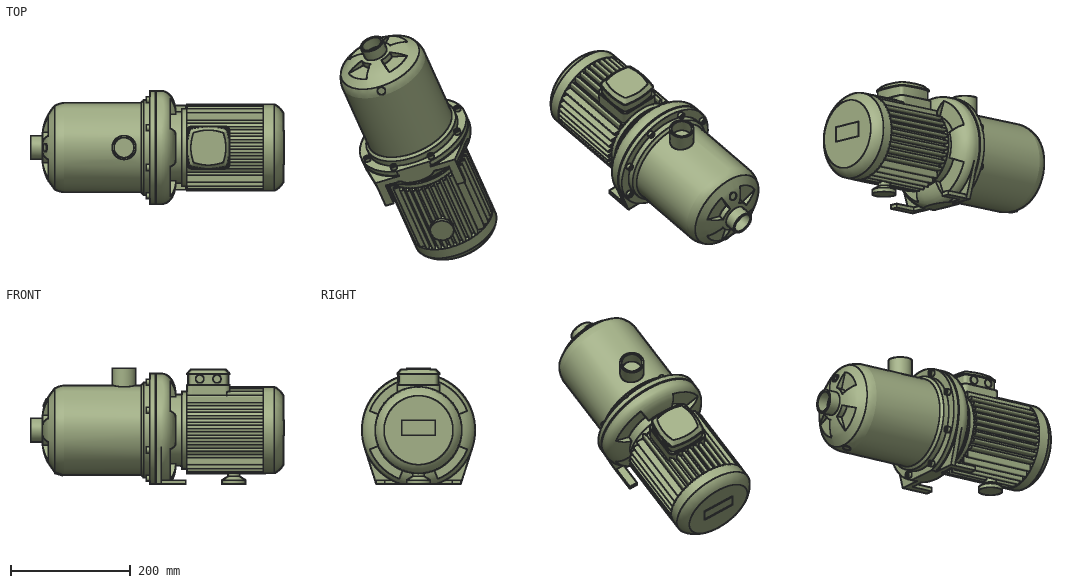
import cadquery as cq
import math


PIPE_RADIUS = 20.0
BORE_RADIUS = 16.75
OUTLET_X = 156.0
OUTLET_TOP = 104.0
OUTLET_BORE_DEPTH = 22.0

DOME_X = 19.0
DOME_HUB_RADIUS = 27.0
DOME_POCKET_RADIUS = 56.0
DOME_EDGE_X = 40.0
DOME_EDGE_RADIUS = 70.0
CASING_X = 55.5
CASING_RADIUS = 75.0
CASING_END_X = 184.5
COLLAR_X = 189.0
COLLAR_RADIUS = 79.92
DOME_POCKET_FLOOR_X = 29.5
POCKET_ANGLE = 47.0
POCKET_COUNT = 4

PLUG_RADIUS = 6.8
PLUG_HEIGHT = 1.5
VENT_PLUG_X = 25.0
VENT_PLUG_Z = 46.0
VENT_PLUG_TILT = 24.0
DRAIN_PLUG_X = 47.0
DRAIN_PLUG_Z = -72.5
DRAIN_PLUG_TILT = -74.0

FLANGE_X = 199.3
FLANGE_RADIUS = 95.0
SEAM_X = 208.0
SEAM_WIDTH = 1.5
SEAM_DEPTH = 0.5
BELL_X = 218.5
BELL_END_X = 242.5
BELL_POCKET_FLOOR_X = 233.0
HUB_RADIUS = 60.0

BASE_Z = -90.5
BRACKET_X = SEAM_X + SEAM_WIDTH
BRACKET_HALF_WIDTH = 71.0
FOOT_THICKNESS = 6.8
FOOT_END_X = 259.5
FOOT_SLOT_X = 220.5
FOOT_SLOT_HALF_WIDTH = 56.5

MOTOR_RING_X = 252.5
MOTOR_RING_RADIUS = 65.1
FINS_X = 261.0
FINS_END_X = 389.0
MOTOR_RADIUS = 72.5
CORE_RADIUS = 62.8
FIN_THICKNESS = 5.0
FIN_PITCH = 10.85
FINS_PER_SIDE = 9
CAP_SHOULDER_X = 407.5
CAP_END_X = 422.7
CAP_END_RADIUS = 57.5
END_PLATE_X = 424.0
END_PLATE_WIDTH = 56.0
END_PLATE_HEIGHT = 25.0
END_PLATE_Z = 4.0

BOX_SIZE = 71.5
BOX_CENTRE_X = FINS_X + BOX_SIZE / 2
BOX_CORNER_RADIUS = 9.0
BOX_FLOOR_Z = CORE_RADIUS / 2
BOX_BASE_TOP = 76.5
BOX_EDGE_CHAMFER = 1.0
LID_CORNER_RADIUS = 6.5
LID_WALL_SIZE = 63.0
LID_WALL_BOW = 2.5
LID_RIM_SIZE = 65.7
LID_RIM_BOW = 3.0
LID_RIM_Z = 93.3
LID_RIM_THICKNESS = 1.3
LID_TOP = 101.8
LID_TOP_SIZE = 51.7
LID_TOP_BOW = 3.5
LID_TOP_CORNER_RADIUS = 4.2
GLAND_RADIUS = 6.8
GLAND_SPACING = 29.0
GLAND_Z = 85.5
GLAND_REACH = 34.5

SUPPORT_X = 339.5
SUPPORT_NECK_RADIUS = 9.95
SUPPORT_RADIUS = 20.0
SUPPORT_PAD_HEIGHT = 6.8
SUPPORT_CONE_HEIGHT = 6.5

BOLT_COUNT = 8
BOLT_CIRCLE_RADIUS = 87.0
BOLT_RADIUS = 5.0
BOLT_HEAD_X = 193.0
SOCKET_DIAMETER = 5.5
SOCKET_DEPTH = 3.5


def disc(x_start, x_end, radius):
    """A cylinder on the pump axis."""
    return cq.Workplane("YZ", origin=(x_start, 0, 0)).circle(radius).extrude(x_end - x_start)


def sector_pockets(x_start, x_end, inner_radius, outer_radius):
    """Four pie-shaped cutters centred on the diagonals, leaving four radial arms between them."""
    pockets = disc(x_start, x_end, outer_radius)
    pockets = pockets.cut(disc(x_start, x_end, inner_radius))
    half_angle = math.radians(POCKET_ANGLE / 2)
    reach = 2 * outer_radius
    wedge = (
        cq.Workplane("YZ", origin=(x_start, 0, 0))
        .polyline([
            (0, 0),
            (reach * math.cos(half_angle), -reach * math.sin(half_angle)),
            (reach * math.cos(half_angle), reach * math.sin(half_angle)),
        ])
        .close()
        .extrude(x_end - x_start)
    )
    wedges = cq.Workplane("YZ")
    for index in range(POCKET_COUNT):
        angle = 360.0 / POCKET_COUNT * (index + 0.5)
        wedges = wedges.add(wedge.rotate((0, 0, 0), (1, 0, 0), angle))
    return pockets.intersect(wedges.combine())


def screw_plug(x, z, tilt):
    """A short round plug whose axis lies in the XZ plane, tilted up from the -X direction."""
    direction = cq.Vector(-math.cos(math.radians(tilt)), 0, math.sin(math.radians(tilt)))
    buried = 4.2
    start = cq.Vector(x, 0, z) - direction * buried
    return cq.Workplane(
        cq.Solid.makeCylinder(PLUG_RADIUS, buried + PLUG_HEIGHT, start, direction)
    )


def make_casing():
    """Domed casing with its collar, dome pockets and two plugs."""
    casing = (
        cq.Workplane("XY")
        .moveTo(DOME_X, 0)
        .lineTo(DOME_X, PIPE_RADIUS)
        .threePointArc((DOME_POCKET_FLOOR_X, DOME_POCKET_RADIUS), (DOME_EDGE_X, DOME_EDGE_RADIUS))
        .threePointArc((47.5, 73.5), (CASING_X, CASING_RADIUS))
        .lineTo(CASING_END_X, CASING_RADIUS)
        .lineTo(COLLAR_X, COLLAR_RADIUS)
        .lineTo(FLANGE_X, COLLAR_RADIUS)
        .lineTo(FLANGE_X, 0)
        .close()
        .revolve(360, (0, 0, 0), (1, 0, 0))
    )
    casing = casing.cut(
        sector_pockets(DOME_X, DOME_POCKET_FLOOR_X, DOME_HUB_RADIUS, CASING_RADIUS)
    )
    casing = casing.union(screw_plug(VENT_PLUG_X, VENT_PLUG_Z, VENT_PLUG_TILT))
    return casing.union(screw_plug(DRAIN_PLUG_X, DRAIN_PLUG_Z, DRAIN_PLUG_TILT))


def add_pipes(body):
    """Inlet pipe on the axis and outlet pipe on top, each with a blind bore."""
    inlet = disc(0, DOME_X, PIPE_RADIUS).cut(disc(0, DOME_X, BORE_RADIUS))
    outlet = (
        cq.Workplane("XY", origin=(OUTLET_X, 0, 0))
        .circle(PIPE_RADIUS)
        .extrude(OUTLET_TOP)
        .faces(">Z")
        .workplane()
        .circle(BORE_RADIUS)
        .cutBlind(-OUTLET_BORE_DEPTH)
    )
    return body.union(inlet).union(outlet)


def make_flange():
    """Flange with a shallow seam, and the rounded bell that closes onto the hub."""
    flange = (
        cq.Workplane("XY")
        .moveTo(FLANGE_X, 0)
        .lineTo(FLANGE_X, FLANGE_RADIUS)
        .lineTo(BELL_X, FLANGE_RADIUS)
        .ellipseArc(BELL_END_X - BELL_X, FLANGE_RADIUS - HUB_RADIUS, 0, 90, sense=-1)
        .lineTo(BELL_END_X, 0)
        .close()
        .revolve(360, (0, 0, 0), (1, 0, 0))
    )
    seam = disc(SEAM_X, BRACKET_X, FLANGE_RADIUS)
    seam = seam.cut(disc(SEAM_X, BRACKET_X, FLANGE_RADIUS - SEAM_DEPTH))
    pockets = sector_pockets(BELL_POCKET_FLOOR_X, BELL_END_X, HUB_RADIUS, FLANGE_RADIUS)
    flat_bottom = cq.Workplane("XY", origin=(BELL_X, 0, BASE_Z)).rect(254.5, 254.5).extrude(254.5)
    return flange.cut(seam).cut(pockets).intersect(flat_bottom)


def make_bracket():
    """Upright plate whose sides run tangent to the flange, bent into a slotted foot."""
    corner_distance = math.hypot(BRACKET_HALF_WIDTH, BASE_Z)
    corner_angle = math.atan2(BASE_Z, BRACKET_HALF_WIDTH)
    tangent_angle = corner_angle + math.acos(FLANGE_RADIUS / corner_distance)
    tangent_y = FLANGE_RADIUS * math.cos(tangent_angle)
    tangent_z = FLANGE_RADIUS * math.sin(tangent_angle)
    plate = (
        cq.Workplane("YZ", origin=(BRACKET_X, 0, 0))
        .polyline([
            (-tangent_y, tangent_z),
            (-BRACKET_HALF_WIDTH, BASE_Z),
            (BRACKET_HALF_WIDTH, BASE_Z),
            (tangent_y, tangent_z),
        ])
        .close()
        .extrude(BELL_X - BRACKET_X)
    )
    foot = cq.Workplane("XY").box(
        FOOT_END_X - BRACKET_X, 2 * BRACKET_HALF_WIDTH, FOOT_THICKNESS, centered=(False, True, False)
    ).translate((BRACKET_X, 0, BASE_Z))
    slot = cq.Workplane("XY").box(
        FOOT_END_X - FOOT_SLOT_X, 2 * FOOT_SLOT_HALF_WIDTH, FOOT_THICKNESS, centered=(False, True, False)
    ).translate((FOOT_SLOT_X, 0, BASE_Z))
    return plate.union(foot.cut(slot))


def make_fin(offset):
    """One lengthwise fin pointing up at the given Y, its rounded tip on the motor's outer circle."""
    half = FIN_THICKNESS / 2
    tip = math.sqrt(MOTOR_RADIUS**2 - offset**2)
    return (
        cq.Workplane("YZ", origin=(FINS_X, 0, 0))
        .moveTo(offset - half, 0)
        .lineTo(offset - half, tip - half)
        .threePointArc((offset, tip), (offset + half, tip - half))
        .lineTo(offset + half, 0)
        .close()
        .extrude(FINS_END_X - FINS_X)
    )


def make_motor():
    """Stepped hub, finned barrel, tapered end cap and end plate."""
    motor = disc(BELL_X, MOTOR_RING_X, HUB_RADIUS)
    motor = motor.union(disc(MOTOR_RING_X, FINS_X, MOTOR_RING_RADIUS))
    fins = cq.Workplane("XY")
    for side in range(4):
        for index in range(FINS_PER_SIDE):
            fin = make_fin((index - (FINS_PER_SIDE - 1) / 2) * FIN_PITCH)
            fins = fins.union(fin.rotate((0, 0, 0), (1, 0, 0), 90 * side))
    box_seat = cq.Workplane("XY").box(
        BOX_CENTRE_X - FINS_X, BOX_SIZE, MOTOR_RADIUS, centered=(False, True, False)
    ).translate((FINS_X, 0, 0))
    motor = motor.union(fins.cut(box_seat))
    motor = motor.union(disc(FINS_X, FINS_END_X, CORE_RADIUS))
    cap = (
        cq.Workplane("XY")
        .moveTo(FINS_END_X, 0)
        .lineTo(FINS_END_X, MOTOR_RADIUS)
        .lineTo(CAP_SHOULDER_X, MOTOR_RADIUS)
        .threePointArc((416.5, 66.0), (CAP_END_X, CAP_END_RADIUS))
        .lineTo(CAP_END_X, 0)
        .close()
        .revolve(360, (0, 0, 0), (1, 0, 0))
    )
    end_plate = (
        cq.Workplane("YZ", origin=(CAP_END_X, 0, END_PLATE_Z))
        .rect(END_PLATE_WIDTH, END_PLATE_HEIGHT)
        .extrude(END_PLATE_X - CAP_END_X)
    )
    return motor.union(cap).union(end_plate)


def bowed_square(size, bow, corner_radius, z):
    """A closed wire: a square with outward-bowed sides and rounded corners."""
    half = size / 2
    straight = half - corner_radius
    corner = corner_radius * (1 - math.sqrt(0.5))
    outline = cq.Workplane("XY", origin=(BOX_CENTRE_X, 0, z)).moveTo(-straight, -half)
    outline = outline.threePointArc((0, -half - bow), (straight, -half))
    outline = outline.threePointArc((half - corner, corner - half), (half, -straight))
    outline = outline.threePointArc((half + bow, 0), (half, straight))
    outline = outline.threePointArc((half - corner, half - corner), (straight, half))
    outline = outline.threePointArc((0, half + bow), (-straight, half))
    outline = outline.threePointArc((corner - half, half - corner), (-half, straight))
    outline = outline.threePointArc((-half - bow, 0), (-half, -straight))
    outline = outline.threePointArc((corner - half, corner - half), (-straight, -half))
    return outline.close().val()


def bowed_block(size, bow, z_bottom, z_top):
    """An upright block of the lid with bowed sides."""
    wire = bowed_square(size, bow, LID_CORNER_RADIUS, z_bottom)
    return cq.Workplane(cq.Solid.extrudeLinear(wire, [], cq.Vector(0, 0, z_top - z_bottom)))


def make_terminal_box():
    """Box base, bowed lid with a rim and tapered top, and two cable gland blanks on the -Y side."""
    base = (
        cq.Workplane("XY", origin=(BOX_CENTRE_X, 0, BOX_FLOOR_Z))
        .rect(BOX_SIZE, BOX_SIZE)
        .extrude(BOX_BASE_TOP - BOX_FLOOR_Z)
        .edges("|Z")
        .fillet(BOX_CORNER_RADIUS)
        .faces(">Z")
        .chamfer(BOX_EDGE_CHAMFER)
    )
    rim_top = LID_RIM_Z + LID_RIM_THICKNESS
    wall = bowed_block(LID_WALL_SIZE, LID_WALL_BOW, BOX_BASE_TOP, LID_RIM_Z)
    rim = bowed_block(LID_RIM_SIZE, LID_RIM_BOW, LID_RIM_Z, rim_top)
    taper_bottom = bowed_square(LID_RIM_SIZE, LID_RIM_BOW, LID_CORNER_RADIUS, rim_top)
    taper_top = bowed_square(LID_TOP_SIZE, LID_TOP_BOW, LID_TOP_CORNER_RADIUS, LID_TOP)
    taper = cq.Workplane(cq.Solid.makeLoft([taper_bottom, taper_top], True))
    box = base.union(wall).union(rim).union(taper)
    glands = (
        cq.Workplane("XZ", origin=(BOX_CENTRE_X, 0, GLAND_Z))
        .pushPoints([(-GLAND_SPACING / 2, 0), (GLAND_SPACING / 2, 0)])
        .circle(GLAND_RADIUS)
        .extrude(GLAND_REACH)
    )
    return box.union(glands)


def make_support():
    """Round pad, cone and neck that carry the motor."""
    cone_z = BASE_Z + SUPPORT_PAD_HEIGHT
    return (
        cq.Workplane("XZ", origin=(SUPPORT_X, 0, 0))
        .polyline([
            (0, BASE_Z),
            (SUPPORT_RADIUS, BASE_Z),
            (SUPPORT_RADIUS, cone_z),
            (SUPPORT_NECK_RADIUS, cone_z + SUPPORT_CONE_HEIGHT),
            (SUPPORT_NECK_RADIUS, -CORE_RADIUS / 2),
            (0, -CORE_RADIUS / 2),
        ])
        .close()
        .revolve(360, (0, 0, 0), (0, 1, 0))
    )


def make_pump():
    """The whole pump unit as one solid."""
    pump = make_casing().union(make_flange()).union(make_bracket())
    pump = pump.union(make_motor()).union(make_terminal_box()).union(make_support())
    return add_pipes(pump)


def make_bolt(angle):
    """One socket head screw seated on the flange at the given angle."""
    bolt = disc(BOLT_HEAD_X, FLANGE_X, BOLT_RADIUS)
    socket = (
        cq.Workplane("YZ", origin=(BOLT_HEAD_X, 0, 0))
        .polygon(6, SOCKET_DIAMETER)
        .extrude(SOCKET_DEPTH)
    )
    bolt = bolt.cut(socket).translate((0, BOLT_CIRCLE_RADIUS, 0))
    return bolt.rotate((0, 0, 0), (1, 0, 0), angle)


pump = make_pump()
bolts = [make_bolt(360.0 / BOLT_COUNT * (index + 0.5)) for index in range(BOLT_COUNT)]

result = cq.Compound.makeCompound([pump.val(), *[bolt.val() for bolt in bolts]])